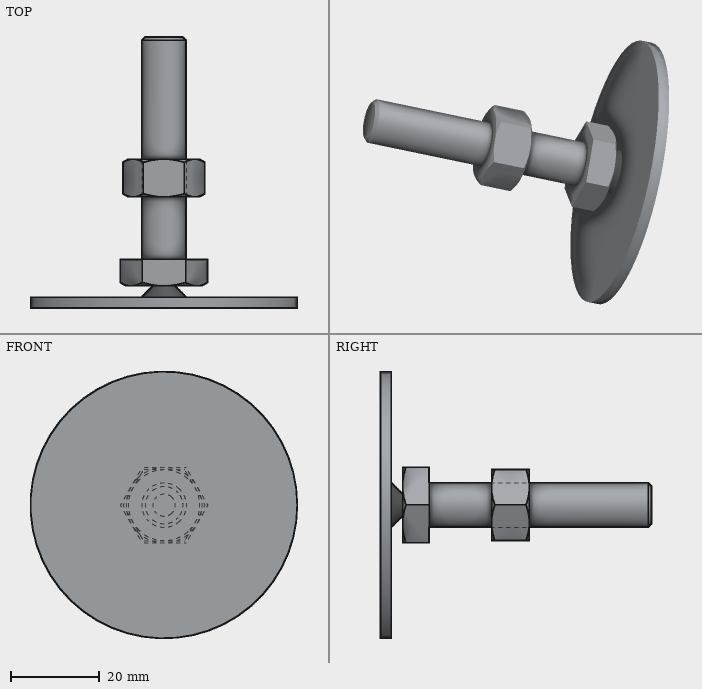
import cadquery as cq
import math

TOTAL_LENGTH = 61.0

PLATE_DIAMETER = 60.0
PLATE_THICKNESS = 2.5
NECK_HEIGHT = 2.5
NECK_BASE_DIAMETER = 10.0
NECK_TOP_DIAMETER = NECK_BASE_DIAMETER - 2 * NECK_HEIGHT

ROD_DIAMETER = 10.0
ROD_TIP_CHAMFER = 0.8
HEAD_ACROSS_FLATS = 17.0
HEAD_HEIGHT = 6.0
HEAD_START = PLATE_THICKNESS + NECK_HEIGHT
HEAD_END = HEAD_START + HEAD_HEIGHT

NUT_ACROSS_FLATS = 16.0
NUT_HEIGHT = 8.5
NUT_START = 25.0

HEX_SIDES = 6
HEX_CHAMFER_ANGLE = 30.0


def disc(diameter, start, length):
    """Cylinder on the Y axis, growing toward +Y."""
    plane = cq.Workplane("XZ", origin=(0, start, 0))
    return plane.circle(diameter / 2).extrude(-length)


def hexagon(across_flats, start, height, chamfer_far_end):
    """Hexagonal prism with corners on +X and -X and conically trimmed ends."""
    corner_radius = across_flats / 2 / math.cos(math.pi / HEX_SIDES)
    face_radius = across_flats / 2
    chamfer_height = (corner_radius - face_radius) * math.tan(math.radians(HEX_CHAMFER_ANGLE))
    end = start + height
    plane = cq.Workplane("XZ", origin=(0, start, 0))
    prism = plane.polygon(HEX_SIDES, 2 * corner_radius).extrude(-height)

    outline = [(0, start), (face_radius, start), (corner_radius, start + chamfer_height)]
    if chamfer_far_end:
        outline += [(corner_radius, end - chamfer_height), (face_radius, end)]
    else:
        outline += [(corner_radius, end)]
    outline += [(0, end)]
    envelope = cq.Workplane("XY").polyline(outline).close().revolve(360, (0, 0, 0), (0, 1, 0))
    return prism.intersect(envelope)


def make_foot():
    plate = disc(PLATE_DIAMETER, 0, PLATE_THICKNESS)
    neck = (
        cq.Workplane("XY")
        .moveTo(0, PLATE_THICKNESS)
        .lineTo(NECK_BASE_DIAMETER / 2, PLATE_THICKNESS)
        .lineTo(NECK_TOP_DIAMETER / 2, HEAD_START)
        .lineTo(0, HEAD_START)
        .close()
        .revolve(360, (0, 0, 0), (0, 1, 0))
    )
    return plate.union(neck)


def make_stud():
    head = hexagon(HEAD_ACROSS_FLATS, HEAD_START, HEAD_HEIGHT, chamfer_far_end=False)
    rod = disc(ROD_DIAMETER, HEAD_END, TOTAL_LENGTH - HEAD_END)
    rod = rod.faces(">Y").chamfer(ROD_TIP_CHAMFER)
    return head.union(rod)


def make_nut():
    blank = hexagon(NUT_ACROSS_FLATS, NUT_START, NUT_HEIGHT, chamfer_far_end=True)
    return blank.cut(disc(ROD_DIAMETER, NUT_START, NUT_HEIGHT))


foot = make_foot()
stud = make_stud()
nut = make_nut()

result = cq.Compound.makeCompound([body.solids().val() for body in (foot, stud, nut)])